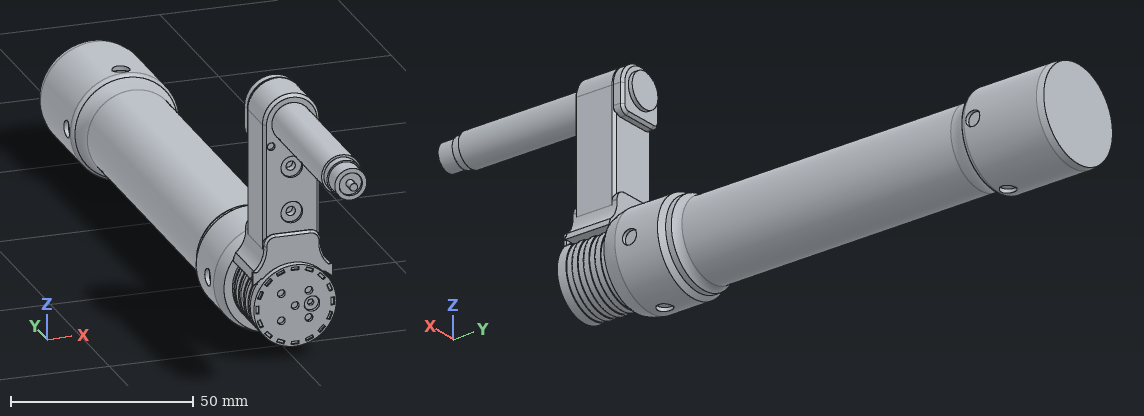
import cadquery as cq


grip_radius = 15.8
grip_length = 28.8
grip_edge_chamfer_length = 2.2
grip_edge_chamfer_inset = 0.5
grip_round_start = 27.5
grip_shoulder_radius = 14.9
tube_radius = 13.0
tube_start = 34.2
tube_end = 127.8
ring_radius = 14.5
ring_start = 130.5
ring_end = 132.5
collar_radius = grip_radius
collar_start = 134.2
collar_taper_start = 149.1
collar_end = 154.0
collar_nose_radius = 14.5
shoulder_sag = 0.5
ring_sag = 0.2
nose_bulge = 0.2

radial_hole_radius = 2.5
radial_hole_depth = 1.3
radial_hole_count = 4
grip_hole_position = 24.5
collar_hole_position = 144.0

drum_radius = 12.0
drum_end = 172.2
groove_depth = 0.33
groove_width = 2.0
groove_pitch = 2 * groove_width
groove_start = 155.0
groove_count = 4
notch_count = 16
notch_inner_radius = 10.5
notch_outer_radius = 11.3
notch_width = 2.2
notch_depth = 0.7
face_hole_depth = 1.0
bolt_offset = 4.0
bolt_hole_radius = 1.0
center_hole_radius = 1.0
port_offset = 4.9
port_radius = 2.2
port_core_radius = 0.9
port_core_depth = 2.2

pen_height = 52.8
arm_half_width = 8.2
arm_start = 155.0
arm_end = 169.3
arm_edge_chamfer = 0.9
arm_bottom = 8.9
head_back_start = 152.2
head_seam_overlap = 0.5
head_back_bottom = 43.7
head_corner_radius = 2.7
foot_lip = 0.9
foot_top = 20.6
foot_corner_radius = 3.0
foot_edge_chamfer = 0.7
foot_flare_top = 17.3
foot_flare_half_width = 11
foot_flare_bottom = 10.5
foot_flare_sag = 0.7
foot_bottom = 8.2
lug_side = 11.5
lug_bottom = 6.5
lug_inner_side = 6.5
lug_inner_height = 10.2
screw_heights = (26.5, 39.7)
screw_counterbore_radius = 3.0
screw_counterbore_depth = 0.9
screw_hole_radius = 1.3
screw_hole_depth = 3.3
pin_offset = 6.0
pin_drop = 6.5
pin_radius = 1.0
pin_depth = 0.9

pen_start = 151
pen_radius = 5.8
pen_body_end = 211.5
pen_neck_radius = 5.0
pen_neck_end = 214.1
pen_nose_radius = 4.7
pen_nose_end = 219.5
pen_recess_radius = 3.3
pen_recess_depth = 0.9
pen_tip_radius = 1.0
pen_end = 222


def section(depth, x=0, z=0):
    """Plane facing -Y at a depth; its local axes are +X and +Z."""
    return cq.Workplane("XZ", origin=(x, -depth, z))


def rod(radius, start, end, x=0, z=0):
    return section(start, x, z).circle(radius).extrude(end - start)


def handle():
    """Grip, tube and collar turned as one profile of (radius, -depth)."""
    shoulder_mid = ((grip_shoulder_radius + tube_radius) / 2 - shoulder_sag, -(grip_length + tube_start) / 2)
    ring_mid = ((ring_radius + tube_radius) / 2 - ring_sag, -(tube_end + ring_start) / 2)
    nose_mid = ((collar_radius + collar_nose_radius) / 2 + nose_bulge, -(collar_taper_start + collar_end) / 2)
    profile = (
        cq.Workplane("XY")
        .lineTo(grip_radius - grip_edge_chamfer_inset, 0)
        .lineTo(grip_radius, -grip_edge_chamfer_length)
        .lineTo(grip_radius, -grip_round_start)
        .tangentArcPoint((grip_shoulder_radius, -grip_length), relative=False)
        .threePointArc(shoulder_mid, (tube_radius, -tube_start))
        .lineTo(tube_radius, -tube_end)
        .threePointArc(ring_mid, (ring_radius, -ring_start))
        .lineTo(ring_radius, -ring_end)
        .lineTo(collar_radius, -collar_start)
        .lineTo(collar_radius, -collar_taper_start)
        .threePointArc(nose_mid, (collar_nose_radius, -collar_end))
        .lineTo(0, -collar_end)
        .close()
    )
    return profile.revolve(360, (0, 0, 0), (0, 1, 0))


def radial_holes(depth):
    """Cutters for the blind holes spaced evenly around the handle."""
    hole = (
        cq.Workplane("XY", origin=(0, -depth, grip_radius - radial_hole_depth))
        .circle(radial_hole_radius)
        .extrude(2 * radial_hole_depth)
    )
    cutters = cq.Workplane("XY")
    for index in range(radial_hole_count):
        angle = index * 360 / radial_hole_count
        cutters = cutters.add(hole.rotate((0, 0, 0), (0, 1, 0), angle))
    return cutters.combine()


def drum():
    body = rod(drum_radius, collar_end, drum_end)
    for index in range(groove_count):
        start = groove_start + index * groove_pitch
        band = rod(drum_radius, start, start + groove_width)
        core = rod(drum_radius - groove_depth, start, start + groove_width)
        body = body.cut(band.cut(core))
    return body


def drum_face_cuts():
    """Ring of notches, bolt holes, center hole and side port in the drum face."""
    floor = drum_end - face_hole_depth
    notches = (
        section(drum_end - notch_depth)
        .polarArray((notch_inner_radius + notch_outer_radius) / 2, 0, 360, notch_count)
        .rect(notch_outer_radius - notch_inner_radius, notch_width)
        .extrude(notch_depth)
    )
    bolts = (
        section(floor)
        .rect(2 * bolt_offset, 2 * bolt_offset, forConstruction=True)
        .vertices()
        .circle(bolt_hole_radius)
        .extrude(face_hole_depth)
    )
    center = rod(center_hole_radius, floor, drum_end)
    port = rod(port_radius, floor, drum_end, x=port_offset)
    port_core = rod(port_core_radius, drum_end - port_core_depth, drum_end, x=port_offset)
    return notches.union(bolts).union(center).union(port).union(port_core)


def round_topped_bar(bottom, start, end):
    """Upright bar from a bottom height up to the round head around the pen."""
    return (
        section(start)
        .moveTo(-arm_half_width, bottom)
        .lineTo(arm_half_width, bottom)
        .lineTo(arm_half_width, pen_height)
        .threePointArc((0, pen_height + arm_half_width), (-arm_half_width, pen_height))
        .close()
        .extrude(end - start)
    )


def arm():
    bar = round_topped_bar(arm_bottom, arm_start, arm_end)
    return bar.faces("<Y or >Y").chamfer(arm_edge_chamfer)


def head_back():
    """Pad behind the arm head; the arm's chamfer leaves a narrow seam in front of it."""
    pad = round_topped_bar(head_back_bottom, head_back_start, arm_start + head_seam_overlap)
    pad = pad.edges("|Y and <Z").fillet(head_corner_radius)
    return pad.faces(">Y").chamfer(arm_edge_chamfer)


def foot():
    """Flared clamp joining the arm to the drum."""
    flare_mid_x = (arm_half_width + foot_flare_half_width) / 2 - foot_flare_sag
    flare_mid_z = (foot_flare_top + foot_flare_bottom) / 2 - foot_flare_sag
    start = arm_start - foot_lip
    return (
        section(start)
        .moveTo(-drum_radius, foot_bottom)
        .lineTo(drum_radius, foot_bottom)
        .lineTo(foot_flare_half_width, foot_flare_bottom)
        .threePointArc((flare_mid_x, flare_mid_z), (arm_half_width, foot_flare_top))
        .lineTo(arm_half_width, foot_top)
        .lineTo(-arm_half_width, foot_top)
        .lineTo(-arm_half_width, foot_flare_top)
        .threePointArc((-flare_mid_x, flare_mid_z), (-foot_flare_half_width, foot_flare_bottom))
        .close()
        .extrude(arm_end + foot_lip - start)
        .edges("|Y and >Z")
        .fillet(foot_corner_radius)
        .faces("<Y")
        .edges("not(<Z)")
        .chamfer(foot_edge_chamfer)
    )


def foot_lugs():
    """Wedges on the front of the foot, reaching down beside the drum."""
    lug = (
        section(arm_end)
        .moveTo(lug_inner_side, lug_inner_height)
        .lineTo(lug_side, lug_inner_height)
        .lineTo(lug_side, lug_bottom)
        .close()
        .extrude(foot_lip)
    )
    return lug.union(lug.mirror("YZ"))


def arm_front_cuts():
    """Counterbored screw holes and the two pin holes below the head."""
    counterbore_floor = arm_end - screw_counterbore_depth
    cutters = cq.Workplane("XY")
    for height in screw_heights:
        cutters = cutters.add(rod(screw_counterbore_radius, counterbore_floor, arm_end, z=height))
        cutters = cutters.add(rod(screw_hole_radius, arm_end - screw_hole_depth, arm_end, z=height))
    for side in (-1, 1):
        cutters = cutters.add(
            rod(pin_radius, arm_end - pin_depth, arm_end, x=side * pin_offset, z=pen_height - pin_drop)
        )
    return cutters.combine()


def pen():
    sections = (
        (pen_radius, pen_start, pen_body_end),
        (pen_neck_radius, pen_body_end, pen_neck_end),
        (pen_nose_radius, pen_neck_end, pen_nose_end),
    )
    body = cq.Workplane("XY")
    for radius, start, end in sections:
        body = body.union(rod(radius, start, end, z=pen_height))
    recess_floor = pen_nose_end - pen_recess_depth
    body = body.cut(rod(pen_recess_radius, recess_floor, pen_nose_end, z=pen_height))
    return body.union(rod(pen_tip_radius, recess_floor, pen_end, z=pen_height))


result = (
    handle()
    .union(drum())
    .union(arm())
    .union(head_back())
    .union(foot())
    .union(foot_lugs())
    .cut(radial_holes(grip_hole_position))
    .cut(radial_holes(collar_hole_position))
    .cut(drum_face_cuts())
    .cut(arm_front_cuts())
    .union(pen())
)